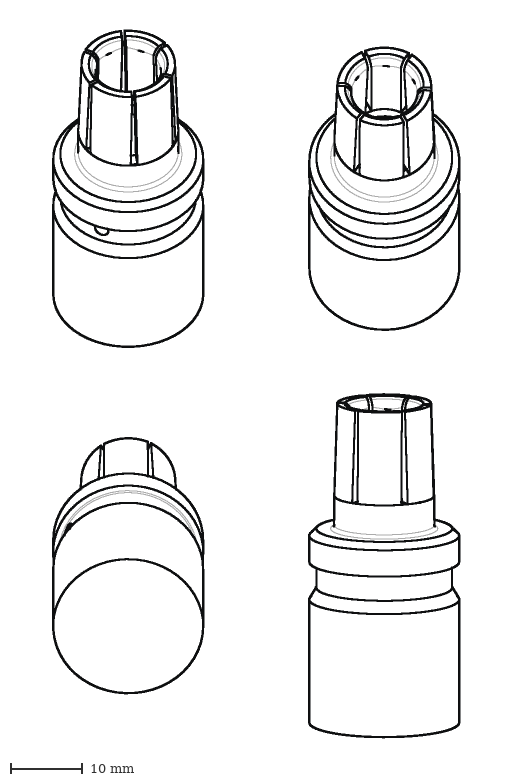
import cadquery as cq
import math

TOTAL_HEIGHT = 45.5
BODY_RADIUS = 10.5
BODY_HEIGHT = 17.55
GROOVE_RADIUS = 9.5
GROOVE_BOTTOM = 19.25
FLANGE_BOTTOM = 22.9
FLANGE_TOP = 27.65
FLANGE_CHAMFER = 1.0
FLANGE_LOWER_FILLET = 0.2
NECK_RADIUS = 7.0
NECK_FILLET = 0.5
FINGER_BASE = 32.35

BORE_RADIUS = 5.0
BORE_FLOOR = 30.55
DRILL_POINT_ANGLE = 118.0

FINGER_COUNT = 6
FINGER_TILT = 2.0
SLOT_WIDTH = 0.95
FINGER_ROOT = 0.5

MOUTH_RADIUS = 5.57
MOUTH_CHAMFER_DEPTH = 0.4
LEAD_IN_RADIUS = 5.1
LEAD_IN_DEPTH = 1.75

TIP_CLEARANCE = 1.0

PIN_HOLE_DIAMETER = 2.0
PIN_HOLE_HEIGHT = 21.45
PIN_HOLE_DEPTH = 2.0


def make_body():
    """Turned body up to the base of the fingers, with its blind bore."""
    tip_depth = BORE_RADIUS / math.tan(math.radians(DRILL_POINT_ANGLE / 2))
    return (
        cq.Workplane("XZ")
        .moveTo(0, 0)
        .lineTo(BODY_RADIUS, 0)
        .lineTo(BODY_RADIUS, BODY_HEIGHT)
        .lineTo(GROOVE_RADIUS, GROOVE_BOTTOM)
        .lineTo(GROOVE_RADIUS, FLANGE_BOTTOM - FLANGE_LOWER_FILLET)
        .radiusArc((GROOVE_RADIUS + FLANGE_LOWER_FILLET, FLANGE_BOTTOM), FLANGE_LOWER_FILLET)
        .lineTo(BODY_RADIUS, FLANGE_BOTTOM)
        .lineTo(BODY_RADIUS, FLANGE_TOP - FLANGE_CHAMFER)
        .lineTo(BODY_RADIUS - FLANGE_CHAMFER, FLANGE_TOP)
        .lineTo(NECK_RADIUS + NECK_FILLET, FLANGE_TOP)
        .radiusArc((NECK_RADIUS, FLANGE_TOP + NECK_FILLET), NECK_FILLET)
        .lineTo(NECK_RADIUS, FINGER_BASE)
        .lineTo(BORE_RADIUS, FINGER_BASE)
        .lineTo(BORE_RADIUS, BORE_FLOOR)
        .lineTo(0, BORE_FLOOR - tip_depth)
        .close()
        .revolve(360, (0, 0, 0), (0, 1, 0))
    )


def make_finger_ring():
    """Straight, unslotted ring from which the fingers are taken."""
    length = (TOTAL_HEIGHT - FINGER_BASE) / math.cos(math.radians(FINGER_TILT))
    base = cq.Workplane("XY").workplane(offset=FINGER_BASE - FINGER_ROOT)
    return base.circle(NECK_RADIUS).circle(BORE_RADIUS).extrude(length + FINGER_ROOT)


def make_lead_in():
    """Cutter for the chamfered and rounded mouth inside the finger tips."""
    clear_top = TOTAL_HEIGHT + TIP_CLEARANCE
    throat_height = TOTAL_HEIGHT - LEAD_IN_DEPTH
    inward_shift = (throat_height - FINGER_BASE) * math.tan(math.radians(FINGER_TILT))
    throat_radius = BORE_RADIUS - inward_shift
    arc_height = LEAD_IN_DEPTH - MOUTH_CHAMFER_DEPTH
    arc_width = LEAD_IN_RADIUS - throat_radius
    arc_radius = (arc_height**2 + arc_width**2) / (2 * arc_width)
    return (
        cq.Workplane("XZ")
        .moveTo(0, throat_height)
        .lineTo(throat_radius, throat_height)
        .radiusArc((LEAD_IN_RADIUS, TOTAL_HEIGHT - MOUTH_CHAMFER_DEPTH), arc_radius)
        .lineTo(MOUTH_RADIUS, TOTAL_HEIGHT)
        .lineTo(MOUTH_RADIUS, clear_top)
        .lineTo(0, clear_top)
        .close()
        .revolve(360, (0, 0, 0), (0, 1, 0))
    )


def make_finger():
    """One finger, centred on +X, bent inward and trimmed level at its base."""
    half_sector = math.pi / FINGER_COUNT
    reach = 2 * NECK_RADIUS
    start = SLOT_WIDTH / 2 / math.sin(half_sector)
    corner_x = start + reach * math.cos(half_sector)
    corner_y = reach * math.sin(half_sector)
    sector = (
        cq.Workplane("XY")
        .moveTo(start, 0)
        .lineTo(corner_x, corner_y)
        .lineTo(corner_x, -corner_y)
        .close()
        .extrude(TOTAL_HEIGHT + TIP_CLEARANCE)
    )
    finger = make_finger_ring().intersect(sector)
    finger = finger.rotate((NECK_RADIUS, 0, FINGER_BASE), (NECK_RADIUS, -1, FINGER_BASE), FINGER_TILT)
    above_base = (
        cq.Workplane("XY")
        .workplane(offset=FINGER_BASE)
        .circle(BODY_RADIUS)
        .extrude(TOTAL_HEIGHT - FINGER_BASE)
    )
    return finger.intersect(above_base)


def make_finger_set():
    """All fingers around the axis, with the lead-in cut in their tips."""
    pitch = 360 / FINGER_COUNT
    finger = make_finger()
    fingers = cq.Workplane("XY")
    for index in range(FINGER_COUNT):
        fingers = fingers.add(finger.rotate((0, 0, 0), (0, 0, 1), (index + 0.5) * pitch))
    return fingers.combine().cut(make_lead_in())


def make_pin_hole():
    """Cutter for the blind radial hole in the groove."""
    floor_y = PIN_HOLE_DEPTH - GROOVE_RADIUS
    return (
        cq.Workplane("XZ", origin=(0, floor_y, PIN_HOLE_HEIGHT))
        .circle(PIN_HOLE_DIAMETER / 2)
        .extrude(BODY_RADIUS)
    )


result = make_body().union(make_finger_set()).cut(make_pin_hole())